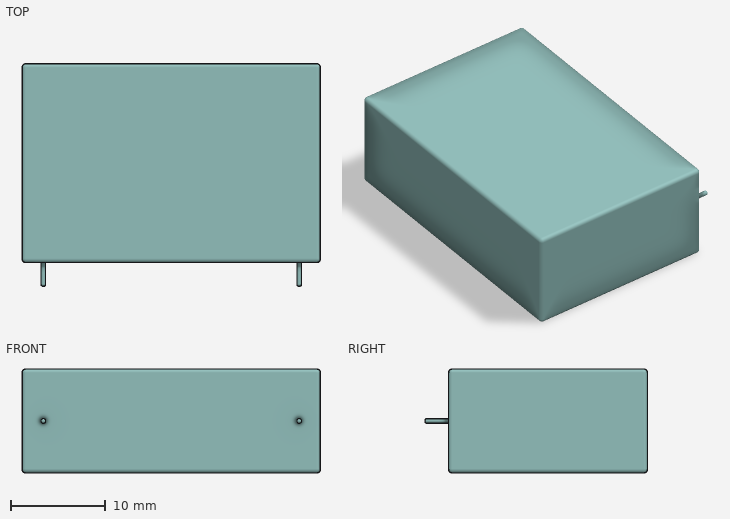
import cadquery as cq

case_width = 31.5
case_depth = 21.0
case_height = 11.0
case_edge_radius = 0.4

lead_spacing = 27.0
lead_diameter = 0.5
lead_length = 2.5
lead_tip_radius = 0.2


def make_case():
    """Box centred on the origin with every edge rounded."""
    return cq.Workplane("XY").box(case_width, case_depth, case_height).edges().fillet(case_edge_radius)


def make_lead(x):
    """Round lead standing out of the -Y face, with a rounded tip."""
    return (
        cq.Workplane("XZ", origin=(x, -case_depth / 2, 0))
        .circle(lead_diameter / 2)
        .extrude(lead_length)
        .faces("<Y")
        .edges()
        .fillet(lead_tip_radius)
    )


result = make_case()
for side in (-1, 1):
    result = result.union(make_lead(side * lead_spacing / 2))